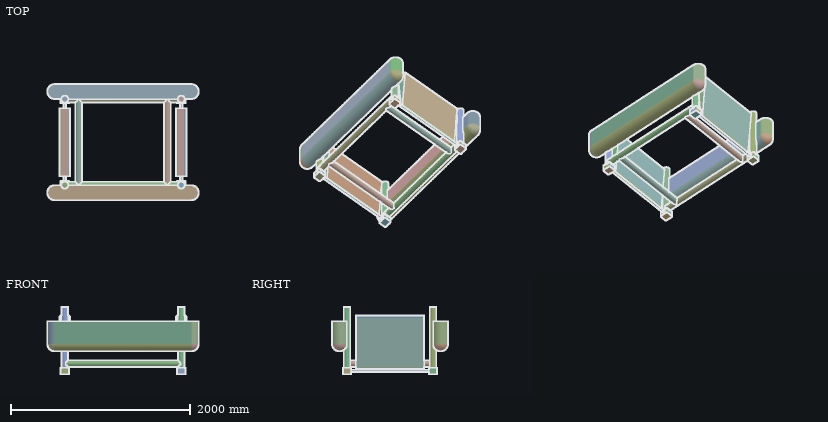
import cadquery as cq
import math

LENGTH = 1694.0
WIDTH = 1300.0
HEIGHT = 755.0

FLOAT_WIDTH = 170.0
FLOAT_HEIGHT = 339.0
FLOAT_TOP = 596.0
FLOAT_TOP_ROUND = 10.0
FLOAT_Y = (WIDTH - FLOAT_WIDTH) / 2

TUBE_DIAMETER = 78.0
POST_X = 650.0
POST_Y = WIDTH / 2 - FLOAT_WIDTH
BEAM_Z = 122.0
CROSS_BEAM_X = 495.0

FOOT_LENGTH = 100.0
FOOT_WIDTH = 93.0
FOOT_HEIGHT = 75.0
FOOT_EDGE_ROUND = 8.0
ROD_DIAMETER = 29.0
ROD_Z = 40.0

PANEL_LENGTH = 762.0
PANEL_THICKNESS = 127.0
PANEL_TOP = 660.0
PANEL_BOTTOM = 63.0
PANEL_TOP_ROUND = 25.0
PANEL_BOTTOM_ROUND = 15.0


def bar_along_x(length, diameter, y, z):
    """Round bar centred on X = 0."""
    return cq.Workplane("YZ", origin=(-length / 2, y, z)).circle(diameter / 2).extrude(length)


def bar_along_y(length, diameter, x, z):
    """Round bar centred on Y = 0."""
    return cq.Workplane("XZ", origin=(x, length / 2, z)).circle(diameter / 2).extrude(length)


def make_post(x, y):
    return cq.Workplane("XY").center(x, y).circle(TUBE_DIAMETER / 2).extrude(HEIGHT)


def make_foot(x, y):
    foot = cq.Workplane("XY").center(x, y).rect(FOOT_LENGTH, FOOT_WIDTH).extrude(FOOT_HEIGHT)
    return foot.edges("|Z").fillet(FOOT_EDGE_ROUND)


def make_float(y):
    """Side member with round ends, a full-round underside and a softened top edge."""
    end_radius = FLOAT_WIDTH / 2
    core_length = LENGTH - FLOAT_WIDTH
    core_bottom = FLOAT_TOP - FLOAT_HEIGHT + end_radius
    body = (
        cq.Workplane("XY", origin=(0, y, core_bottom))
        .slot2D(LENGTH, FLOAT_WIDTH)
        .extrude(FLOAT_TOP - core_bottom)
        .faces(">Z")
        .edges()
        .fillet(FLOAT_TOP_ROUND)
    )
    body = body.union(bar_along_x(core_length, FLOAT_WIDTH, y, core_bottom))
    for x in (-core_length / 2, core_length / 2):
        body = body.union(cq.Workplane("XY", origin=(x, y, core_bottom)).sphere(end_radius))
    return body


def make_frame():
    """Floats, posts, beams, feet and rods, joined into one solid."""
    frame = make_float(-FLOAT_Y).union(make_float(FLOAT_Y))
    for x in (-POST_X, POST_X):
        for y in (-POST_Y, POST_Y):
            frame = frame.union(make_post(x, y)).union(make_foot(x, y))
        frame = frame.union(bar_along_y(2 * POST_Y, ROD_DIAMETER, x, ROD_Z))
    for y in (-POST_Y, POST_Y):
        frame = frame.union(bar_along_x(2 * POST_X, TUBE_DIAMETER, y, BEAM_Z))
    for x in (-CROSS_BEAM_X, CROSS_BEAM_X):
        frame = frame.union(bar_along_y(2 * POST_Y, TUBE_DIAMETER, x, BEAM_Z))
    return frame


def make_panel(x):
    """Wedge that narrows from its top down to a round bottom edge tangent to both faces."""
    half_top = PANEL_THICKNESS / 2
    bottom_center = PANEL_BOTTOM + PANEL_BOTTOM_ROUND
    rise = PANEL_TOP - bottom_center
    reach = math.hypot(half_top, rise)
    angle = math.atan2(rise, half_top) - math.acos(PANEL_BOTTOM_ROUND / reach)
    tangent_x = PANEL_BOTTOM_ROUND * math.cos(angle)
    tangent_z = bottom_center + PANEL_BOTTOM_ROUND * math.sin(angle)
    panel = (
        cq.Workplane("XZ", origin=(x, PANEL_LENGTH / 2, 0))
        .moveTo(-half_top, PANEL_TOP)
        .lineTo(half_top, PANEL_TOP)
        .lineTo(tangent_x, tangent_z)
        .threePointArc((0, PANEL_BOTTOM), (-tangent_x, tangent_z))
        .close()
        .extrude(PANEL_LENGTH)
    )
    return panel.faces(">Z").edges("|Y").fillet(PANEL_TOP_ROUND)


frame = make_frame()
panels = [make_panel(x) for x in (-POST_X, POST_X)]
result = cq.Compound.makeCompound([frame.solids().val(), *[panel.val() for panel in panels]])